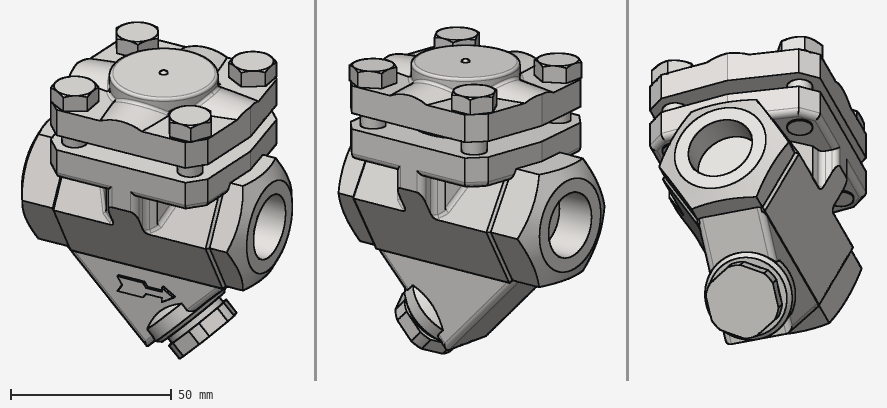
import cadquery as cq
import math

PIPE_LENGTH = 80.0
PIPE_HEX_FLATS = 37.0
PIPE_RIM_DIAMETER = 30.0
PIPE_CHAMFER_ANGLE = 30.0
BORE_DIAMETER = 21.0
BORE_DEPTH = 13.0

STEM_X = 2.4

BODY_LENGTH = 55.8
BODY_BEVEL = 0.9
BODY_HEX_FLATS = PIPE_HEX_FLATS + 2 * BODY_BEVEL
BODY_HALF_CORNERS = BODY_HEX_FLATS / math.sqrt(3)

FLANGE_HALF_DEPTH = 28.0
FLANGE_TIP_X = 30.8
FLANGE_SIDE_X = 27.9
FLANGE_SIDE_Y = 22.6
FLANGE_FRONT_X = 22.9
FLANGE_BOTTOM = 15.0
FLANGE_TOP = 25.0
GASKET_DIAMETER = 34.0
COVER_BOTTOM = 30.2
COVER_TOP = 39.2

TURRET_DIAMETER = 45.8
TURRET_FLAT_START = (9.1, 21.0)
TURRET_FLAT_END = (18.2, 10.0)
RIB_HALF_WIDTH = 5.3
CAST_RADIUS = 2.0

CAP_DIAMETER = 34.0
CAP_TOP = 45.0
CAP_RADIUS = 1.0
NUB_DIAMETER = 3.0
NUB_TOP = 45.8
RIDGE_RADIUS = 17.0
RIDGE_HEIGHT = 1.6
RIDGE_SLOPE = 6.0

EDGE_TOLERANCE = 0.02

BOLT_SPACING = 41.0
BOLT_SHANK_DIAMETER = 8.0
BOLT_HEAD_FLATS = 13.0
BOLT_HEAD_HEIGHT = 5.5
BOLT_HEAD_CHAMFER_ANGLE = 30.0
BOLT_SHANK_BOTTOM = 14.5

LEG_HALF_WIDTH = 11.0
LEG_AXIS_ANGLE = 45.0
LEG_AXIS_OFFSET = 18.3
LEG_END = 34.9
LEG_TOP = -17.0
BOSS_DIAMETER = 28.0
BOSS_CONE_ANGLE = 55.0
BOSS_START = 30.4
BOSS_END = 36.45
BOSS_CHAMFER = 1.4
BOSS_CONE_SMALL_RADIUS = 8.0
PLUG_NECK_DIAMETER = 20.6
PLUG_HEX_FLATS = 22.0
PLUG_TURNED_DIAMETER = 23.4
PLUG_HEAD_START = 38.7
PLUG_HEAD_END = 44.0

ARROW_CENTER_Z = -26.5
ARROW_TAIL_X = -7.6
ARROW_NOTCH_X = -5.9
ARROW_FEATHER_X = 1.5
ARROW_SHAFT_X = 2.6
ARROW_HEAD_X = 8.2
ARROW_TIP_X = 12.4
ARROW_HALF_HEIGHT = 2.6
ARROW_SHAFT_HALF_HEIGHT = 1.05
ARROW_RELIEF = 1.0


def hex_corners(flats):
    """Diameter over the corners of a hexagon given its width over flats."""
    return flats / math.cos(math.radians(30))


def make_pipe():
    """Hexagonal bar along X with both ends turned to a cone."""
    half = PIPE_LENGTH / 2
    rim = PIPE_RIM_DIAMETER / 2
    corner = hex_corners(PIPE_HEX_FLATS) / 2
    cone_length = (corner - rim) * math.tan(math.radians(PIPE_CHAMFER_ANGLE))
    bar = cq.Workplane("YZ").polygon(6, 2 * corner).extrude(half, both=True)
    turned = (
        cq.Workplane("XY")
        .moveTo(-half, 0)
        .lineTo(-half, rim)
        .lineTo(-half + cone_length, corner)
        .lineTo(half - cone_length, corner)
        .lineTo(half, rim)
        .lineTo(half, 0)
        .close()
        .revolve(360, (0, 0, 0), (1, 0, 0))
    )
    return bar.intersect(turned)


def make_body():
    """Larger hexagon in the middle, beveled down to the pipe ends."""
    return (
        cq.Workplane("YZ", origin=(STEM_X, 0, 0))
        .polygon(6, hex_corners(BODY_HEX_FLATS))
        .extrude(BODY_LENGTH / 2, both=True)
        .faces("<X or >X")
        .chamfer(BODY_BEVEL)
    )


def make_turret():
    """Round turret with diagonal flats and a front and a rear rib, cut to the lower hexagon slope."""
    start_x, start_y = TURRET_FLAT_START
    end_x, end_y = TURRET_FLAT_END
    arc_top = TURRET_DIAMETER / 2
    height = FLANGE_TOP
    drum = (
        cq.Workplane("XY", origin=(STEM_X, 0, 0))
        .moveTo(-start_x, start_y)
        .threePointArc((0, arc_top), (start_x, start_y))
        .lineTo(end_x, end_y)
        .lineTo(end_x, -end_y)
        .lineTo(start_x, -start_y)
        .threePointArc((0, -arc_top), (-start_x, -start_y))
        .lineTo(-end_x, -end_y)
        .lineTo(-end_x, end_y)
        .close()
        .extrude(height)
    )
    ribs = cq.Workplane("XY", origin=(STEM_X, 0, 0)).rect(2 * RIB_HALF_WIDTH, 2 * FLANGE_HALF_DEPTH).extrude(height)
    rib_root_y = math.sqrt(arc_top**2 - RIB_HALF_WIDTH**2)
    turret = drum.union(ribs)
    for side in (-1, 1):
        for end_y in (rib_root_y, FLANGE_HALF_DEPTH):
            for end in (-1, 1):
                corner = (STEM_X + side * RIB_HALF_WIDTH, end * end_y, height / 2)
                turret = turret.edges(cq.selectors.NearestToPointSelector(corner)).fillet(CAST_RADIUS)
    slope_height = (FLANGE_HALF_DEPTH - BODY_HALF_CORNERS) * math.tan(math.radians(60))
    envelope = (
        cq.Workplane("YZ", origin=(STEM_X, 0, 0))
        .moveTo(-BODY_HALF_CORNERS, 0)
        .lineTo(BODY_HALF_CORNERS, 0)
        .lineTo(FLANGE_HALF_DEPTH, slope_height)
        .lineTo(FLANGE_HALF_DEPTH, height)
        .lineTo(-FLANGE_HALF_DEPTH, height)
        .lineTo(-FLANGE_HALF_DEPTH, slope_height)
        .close()
        .extrude(BODY_LENGTH / 2, both=True)
    )
    return turret.intersect(envelope)


def on_body_slope(edge):
    """True for an edge that lies on one of the two upper sloping flats of the body, under the flange."""
    ends = (edge.startPoint(), edge.endPoint())
    reach = [abs(end.y) + end.z / math.sqrt(3) for end in ends]
    on_flat = all(abs(value - BODY_HALF_CORNERS) < EDGE_TOLERANCE for value in reach)
    above_corner = edge.Center().z > EDGE_TOLERANCE
    beside_turret = abs(edge.Center().x - STEM_X) < TURRET_FLAT_END[0]
    return on_flat and above_corner and beside_turret


def make_casting():
    """Middle body joined to the turret with a cast radius along the seam."""
    casting = make_body().union(make_turret())
    seam = [edge for edge in casting.edges().vals() if on_body_slope(edge)]
    return casting.newObject(seam).fillet(CAST_RADIUS)


def outline_plate(bottom, top):
    """Plate with the ten-sided outline shared by flange and cover."""
    corner = [
        (FLANGE_FRONT_X, FLANGE_HALF_DEPTH),
        (FLANGE_SIDE_X, FLANGE_SIDE_Y),
        (FLANGE_TIP_X, 0),
        (FLANGE_SIDE_X, -FLANGE_SIDE_Y),
        (FLANGE_FRONT_X, -FLANGE_HALF_DEPTH),
    ]
    mirrored = [(-x, -y) for x, y in corner]
    return cq.Workplane("XY", origin=(STEM_X, 0, bottom)).polyline(corner + mirrored).close().extrude(top - bottom)


def make_flange():
    """Flange plate with a rounded bottom edge."""
    return outline_plate(FLANGE_BOTTOM, FLANGE_TOP).faces("<Z").edges().fillet(CAST_RADIUS)


def make_ridge(direction):
    """Rounded ridge that falls from the cap to one edge of the cover."""
    slope = math.tan(math.radians(RIDGE_SLOPE))
    axis_z = COVER_TOP + RIDGE_HEIGHT - RIDGE_RADIUS + FLANGE_HALF_DEPTH * slope
    length = 2 * FLANGE_TIP_X
    heading = math.radians(direction)
    axis = cq.Vector(math.cos(heading), math.sin(heading), -slope)
    return cq.Workplane(obj=cq.Solid.makeCylinder(RIDGE_RADIUS, length, cq.Vector(STEM_X, 0, axis_z), axis))


def at_cap_foot(edge):
    """True for an edge where the cap wall meets the cover plate or a ridge."""
    ends = (edge.startPoint(), edge.endPoint())
    on_wall = all(abs(math.hypot(end.x - STEM_X, end.y) - CAP_DIAMETER / 2) < EDGE_TOLERANCE for end in ends)
    return on_wall and COVER_BOTTOM < min(end.z for end in ends) and max(end.z for end in ends) < CAP_TOP - CAP_RADIUS


def make_cover():
    """Cover plate with a round cap, four ridges and a central nub."""
    ridges = make_ridge(0)
    for direction in (90, 180, 270):
        ridges = ridges.union(make_ridge(direction))
    ridges = ridges.intersect(outline_plate(COVER_BOTTOM, CAP_TOP - CAP_RADIUS))
    cap = (
        cq.Workplane("XY", origin=(STEM_X, 0, COVER_BOTTOM))
        .circle(CAP_DIAMETER / 2)
        .extrude(CAP_TOP - COVER_BOTTOM)
        .faces(">Z")
        .edges()
        .fillet(CAP_RADIUS)
    )
    nub = cq.Workplane("XY", origin=(STEM_X, 0, NUB_TOP - NUB_DIAMETER / 2)).sphere(NUB_DIAMETER / 2)
    cover = outline_plate(COVER_BOTTOM, COVER_TOP).union(ridges).union(cap)
    foot = [edge for edge in cover.edges().vals() if at_cap_foot(edge)]
    return cover.newObject(foot).fillet(CAP_RADIUS).union(nub)


def make_gasket():
    """Round spacer between flange and cover."""
    return (
        cq.Workplane("XY", origin=(STEM_X, 0, FLANGE_TOP))
        .circle(GASKET_DIAMETER / 2)
        .extrude(COVER_BOTTOM - FLANGE_TOP)
    )


def make_bolt(x, y, turn):
    """Hexagon bolt; the turn sets where the head corners point."""
    flat_radius = BOLT_HEAD_FLATS / 2
    corner = hex_corners(BOLT_HEAD_FLATS) / 2
    chamfer = (corner - flat_radius) * math.tan(math.radians(BOLT_HEAD_CHAMFER_ANGLE))
    head = cq.Workplane("XY").polygon(6, 2 * corner).extrude(BOLT_HEAD_HEIGHT).rotate((0, 0, 0), (0, 0, 1), turn)
    turned = (
        cq.Workplane("XZ")
        .lineTo(corner, 0)
        .lineTo(corner, BOLT_HEAD_HEIGHT - chamfer)
        .lineTo(flat_radius, BOLT_HEAD_HEIGHT)
        .lineTo(0, BOLT_HEAD_HEIGHT)
        .close()
        .revolve(360, (0, 0, 0), (0, 1, 0))
    )
    shank = cq.Workplane("XY").circle(BOLT_SHANK_DIAMETER / 2).extrude(BOLT_SHANK_BOTTOM - COVER_TOP)
    return head.intersect(turned).union(shank).translate((x, y, COVER_TOP))


def make_leg():
    """Strainer leg plate: a right-angled corner pointing down, with rounded long edges."""
    edge_offset = LEG_AXIS_OFFSET + BOSS_DIAMETER / 2
    left_sum = -edge_offset * math.sqrt(2)
    right_difference = LEG_END * math.sqrt(2)
    tip_x = (left_sum + right_difference) / 2
    tip_z = (left_sum - right_difference) / 2
    leg = (
        cq.Workplane("XZ", origin=(0, 0, 0))
        .moveTo(left_sum, 0)
        .lineTo(tip_x, tip_z)
        .lineTo(right_difference, 0)
        .close()
        .extrude(LEG_HALF_WIDTH, both=True)
    )
    leg = leg.edges("(not |Y) and (not |X)").fillet(CAST_RADIUS)
    above = cq.Workplane("XY", origin=(0, 0, LEG_TOP)).rect(2 * PIPE_LENGTH, PIPE_LENGTH).extrude(PIPE_LENGTH)
    return leg.cut(above)


def place_on_leg(shape):
    """Move a shape built along Z onto the leg axis, which falls toward +X."""
    angle = math.radians(LEG_AXIS_ANGLE)
    shift = (-LEG_AXIS_OFFSET * math.cos(angle), 0, -LEG_AXIS_OFFSET * math.sin(angle))
    return shape.rotate((0, 0, 0), (0, 1, 0), 180 - LEG_AXIS_ANGLE).translate(shift)


def make_plug():
    """Round boss with a conical back, plug neck and hexagonal plug head."""
    boss_radius = BOSS_DIAMETER / 2
    cone_length = (boss_radius - BOSS_CONE_SMALL_RADIUS) / math.tan(math.radians(BOSS_CONE_ANGLE))
    neck_radius = PLUG_NECK_DIAMETER / 2
    turned = (
        cq.Workplane("XZ")
        .moveTo(0, BOSS_START - cone_length)
        .lineTo(BOSS_CONE_SMALL_RADIUS, BOSS_START - cone_length)
        .lineTo(boss_radius, BOSS_START)
        .lineTo(boss_radius, BOSS_END - BOSS_CHAMFER)
        .lineTo(boss_radius - BOSS_CHAMFER, BOSS_END)
        .lineTo(neck_radius, BOSS_END)
        .lineTo(neck_radius, PLUG_HEAD_START)
        .lineTo(0, PLUG_HEAD_START)
        .close()
        .revolve(360, (0, 0, 0), (0, 1, 0))
    )
    head_plane = cq.Workplane("XY", origin=(0, 0, PLUG_HEAD_START))
    head_height = PLUG_HEAD_END - PLUG_HEAD_START
    head = head_plane.polygon(6, hex_corners(PLUG_HEX_FLATS)).extrude(head_height)
    head = head.intersect(head_plane.circle(PLUG_TURNED_DIAMETER / 2).extrude(head_height))
    return place_on_leg(turned.union(head))


def make_arrow():
    """Feathered arrow pointing along the flow, standing out of the leg face."""
    upper = [
        (ARROW_TAIL_X, ARROW_HALF_HEIGHT),
        (ARROW_FEATHER_X, ARROW_HALF_HEIGHT),
        (ARROW_SHAFT_X, ARROW_SHAFT_HALF_HEIGHT),
        (ARROW_HEAD_X, ARROW_SHAFT_HALF_HEIGHT),
        (ARROW_HEAD_X, ARROW_HALF_HEIGHT),
    ]
    lower = [(x, -z) for x, z in reversed(upper)]
    outline = upper + [(ARROW_TIP_X, 0)] + lower + [(ARROW_NOTCH_X, 0)]
    return (
        cq.Workplane("XZ", origin=(0, 0, ARROW_CENTER_Z))
        .polyline(outline)
        .close()
        .extrude(LEG_HALF_WIDTH + ARROW_RELIEF)
    )


def cut_bores(body):
    """Blind round bore in each pipe end."""
    for selector in ("<X", ">X"):
        end_plane = body.faces(selector).workplane(centerOption="CenterOfMass")
        body = end_plane.circle(BORE_DIAMETER / 2).cutBlind(-BORE_DEPTH)
    return body


result = make_casting().union(cut_bores(make_pipe()))
result = result.union(make_flange()).union(make_gasket()).union(make_cover())
for bolt_x in (-1, 1):
    for bolt_y in (-1, 1):
        head_turn = 30 if bolt_x == bolt_y else 0
        bolt = make_bolt(STEM_X + bolt_x * BOLT_SPACING / 2, bolt_y * BOLT_SPACING / 2, head_turn)
        result = result.union(bolt)
result = result.union(make_leg()).union(make_plug()).union(make_arrow())